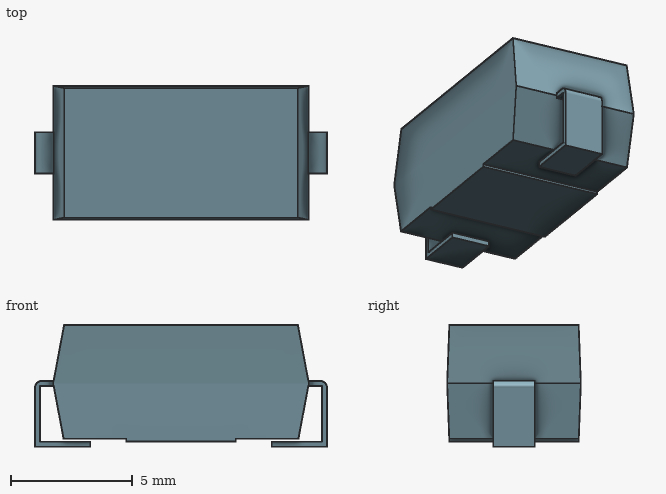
import cadquery as cq

overall_length = 12.0
overall_height = 5.0

parting_length = 10.5
parting_width = 5.5
face_length = 9.6
face_width = 5.32
parting_height = 2.6
body_bottom = 0.32

lead_thickness = 0.22
lead_width = 1.7
foot_length = 2.28
bend_radius = 0.3
lead_embed = 0.6
lead_top = parting_height + lead_thickness / 2

pad_length = 4.51
pad_bottom = lead_thickness


def body_half(face_height):
    """Half of the body, tapering from the parting plane to a flat face."""
    return (
        cq.Workplane("XY", origin=(0, 0, parting_height))
        .rect(parting_length, parting_width)
        .workplane(offset=face_height - parting_height)
        .rect(face_length, face_width)
        .loft(ruled=True)
    )


def end_relief(side):
    """Shallow step at one end of the bottom face, leaving the standoff pad."""
    relief_length = (parting_length - pad_length) / 2
    relief_center_x = side * (pad_length + relief_length) / 2
    return (
        cq.Workplane("XY", origin=(relief_center_x, 0, pad_bottom))
        .rect(relief_length, parting_width)
        .extrude(body_bottom - pad_bottom)
    )


def left_lead():
    """C-shaped strip: out of the body, down, and back under it."""
    outer_x = -overall_length / 2
    inner_x = outer_x + lead_thickness
    foot_end_x = outer_x + foot_length
    embedded_x = -parting_length / 2 + lead_embed
    return (
        cq.Workplane("XZ")
        .moveTo(outer_x, 0)
        .lineTo(foot_end_x, 0)
        .lineTo(foot_end_x, lead_thickness)
        .lineTo(inner_x, lead_thickness)
        .lineTo(inner_x, lead_top - lead_thickness)
        .lineTo(embedded_x, lead_top - lead_thickness)
        .lineTo(embedded_x, lead_top)
        .lineTo(outer_x + bend_radius, lead_top)
        .radiusArc((outer_x, lead_top - bend_radius), -bend_radius)
        .close()
        .extrude(lead_width / 2, both=True)
    )


body = body_half(overall_height).union(body_half(pad_bottom))
for side in (-1, 1):
    body = body.cut(end_relief(side))

lead = left_lead()
result = body.union(lead).union(lead.mirror("YZ"))